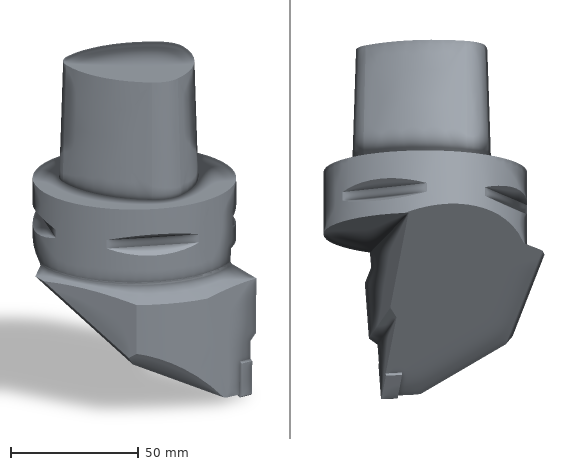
import cadquery as cq
import math

FLANGE_DIAMETER = 80.0
FLANGE_RADIUS = FLANGE_DIAMETER / 2
FLANGE_THICKNESS = 25.0
CUTTER_SIZE = 256.0

SHANK_HEIGHT = 48.0
LOBE_CENTER_RADIUS = 16.8
SHANK_WIDTH = 54.7
LOBE_RADIUS = (SHANK_WIDTH - LOBE_CENTER_RADIUS * math.sqrt(3)) / 2
SHANK_TAPER = 1.5

GROOVE_COUNT = 4
GROOVE_CENTER_Z = -14.8
GROOVE_FLOOR_WIDTH = 3.5
GROOVE_FLOOR_DISTANCE = 35.5
GROOVE_WALL_ANGLE = 30.0

HEAD_RADIUS = 54.4
HEAD_DEPTH = 89.6
CONE_START_Z = -30.8
CONE_ANGLE = 15.0
NECK_FILLET = 1.0
FRONT_FLAT_Y = -45.0
UNDERSIDE_POINT = (-FLANGE_RADIUS, 0, -21.0)
UNDERSIDE_ANGLE = 31.6
UNDERSIDE_SLOPE_X = -math.tan(math.radians(UNDERSIDE_ANGLE))
UNDERSIDE_SLOPE_Y = -0.035
EDGE_CHAMFER_POINT = (26.9, -42.2, -60.7)
EDGE_CHAMFER_RISE = 2.7
EDGE_CHAMFER_DEPTH = 2.2
CORNER_CHAMFER_RUN = (19.2, 21.1, -13.5)
SIDE_POINT = (52.2, 8.0, -34.3)
SIDE_SLOPE_Y = 0.094
SIDE_SLOPE_Z = -0.057

RAKE_TURN_ANGLE = 6.5
RAKE_SLOPE_X = -math.tan(math.radians(RAKE_TURN_ANGLE))
RAKE_SLOPE_Z = 0.087
RAKE_OFFSET = 16.6
CHIP_FACE_OFFSET = 13.3
CHIP_STEP_Y = 10.0
CHIP_STEP_Z = -53.4
CHIP_STEP_SLOPE = 0.65

INSERT_TIP_X = 55.0
INSERT_TIP_Z = -80.5
INSERT_SIDE = 14.3
INSERT_THICKNESS = 6.5
INSERT_FLANK_ANGLE = 93.0
INSERT_LOWER_ANGLE = 148.2
INSERT_NOSE_RADIUS = 0.6


def half_space(point, outward):
    """Large block on the outward side of a plane, used as a cutter."""
    plane = cq.Plane(origin=point, normal=outward)
    return cq.Workplane(plane).rect(CUTTER_SIZE, CUTTER_SIZE).extrude(CUTTER_SIZE)


def polar(radius, angle):
    return cq.Vector(radius * math.cos(math.radians(angle)), radius * math.sin(math.radians(angle)), 0)


def shank_section(z, inset):
    """Three lobes and three wide flanks; each flank is centred on the opposite lobe."""
    lobe_radius = LOBE_RADIUS - inset
    flank_radius = SHANK_WIDTH - LOBE_RADIUS - inset
    level = cq.Vector(0, 0, z)
    edges = []
    for lobe_angle in (90, 210, 330):
        lobe_center = polar(LOBE_CENTER_RADIUS, lobe_angle) + level
        lobe = [lobe_center + polar(lobe_radius, lobe_angle + turn) for turn in (-30, 0, 30)]
        flank_angle = lobe_angle + 60
        flank_center = polar(LOBE_CENTER_RADIUS, flank_angle + 180) + level
        flank = [flank_center + polar(flank_radius, flank_angle + turn) for turn in (-30, 0, 30)]
        edges.append(cq.Edge.makeThreePointArc(*lobe))
        edges.append(cq.Edge.makeThreePointArc(*flank))
    return cq.Wire.assembleEdges(edges)


def make_shank():
    sections = [shank_section(0, 0), shank_section(SHANK_HEIGHT, SHANK_TAPER)]
    return cq.Workplane(cq.Solid.makeLoft(sections, True))


def make_groove(angle):
    """Straight flat-bottomed groove with sloping walls, cut across the flange rim."""
    depth = FLANGE_RADIUS - GROOVE_FLOOR_DISTANCE
    half_floor = GROOVE_FLOOR_WIDTH / 2
    half_mouth = half_floor + depth * math.tan(math.radians(GROOVE_WALL_ANGLE))
    profile = [
        (GROOVE_FLOOR_DISTANCE, GROOVE_CENTER_Z - half_floor),
        (FLANGE_RADIUS, GROOVE_CENTER_Z - half_mouth),
        (FLANGE_RADIUS, GROOVE_CENTER_Z + half_mouth),
        (GROOVE_FLOOR_DISTANCE, GROOVE_CENTER_Z + half_floor),
    ]
    groove = cq.Workplane("XZ").polyline(profile).close().extrude(FLANGE_RADIUS, both=True)
    return groove.rotate((0, 0, 0), (0, 0, 1), angle)


def make_flange():
    return cq.Workplane("XY").circle(FLANGE_RADIUS).extrude(-FLANGE_THICKNESS)


def rake_cutter(offset):
    return half_space((0, offset, 0), (-RAKE_SLOPE_X, 1, -RAKE_SLOPE_Z))


def make_head_blank():
    """Turned blank: neck cylinder, small fillet, cone and outer cylinder."""
    cone_angle = math.radians(CONE_ANGLE)
    cone_drop = (HEAD_RADIUS - FLANGE_RADIUS) * math.tan(cone_angle)
    tangent_length = NECK_FILLET * math.tan((math.pi / 2 - cone_angle) / 2)
    fillet_top = (FLANGE_RADIUS, CONE_START_Z + tangent_length)
    fillet_end = (
        FLANGE_RADIUS + tangent_length * math.cos(cone_angle),
        CONE_START_Z - tangent_length * math.sin(cone_angle),
    )
    return (
        cq.Workplane("XZ")
        .lineTo(FLANGE_RADIUS, 0)
        .lineTo(*fillet_top)
        .tangentArcPoint(fillet_end, relative=False)
        .lineTo(HEAD_RADIUS, CONE_START_Z - cone_drop)
        .lineTo(HEAD_RADIUS, -HEAD_DEPTH)
        .lineTo(0, -HEAD_DEPTH)
        .close()
        .revolve(360, (0, 0, 0), (0, 1, 0))
    )


def cut_edge_chamfers(head):
    """Chamfers where the underside meets the front flat and the rounded corner."""
    across = cq.Vector(0, -EDGE_CHAMFER_DEPTH, EDGE_CHAMFER_RISE)
    along_underside = cq.Vector(1, 0, UNDERSIDE_SLOPE_X)
    for run in (along_underside, cq.Vector(*CORNER_CHAMFER_RUN)):
        head = head.cut(half_space(EDGE_CHAMFER_POINT, run.cross(across)))
    return head


def cut_chip_pocket(head):
    """Lower rake face that starts below a sloping step."""
    below_step = half_space((0, CHIP_STEP_Y, CHIP_STEP_Z), (0, CHIP_STEP_SLOPE, -1))
    return head.cut(rake_cutter(CHIP_FACE_OFFSET).intersect(below_step))


def make_head():
    head = make_head_blank()
    head = head.cut(half_space((0, FRONT_FLAT_Y, 0), (0, -1, 0)))
    head = head.cut(rake_cutter(RAKE_OFFSET))
    head = head.cut(half_space(SIDE_POINT, (1, -SIDE_SLOPE_Y, -SIDE_SLOPE_Z)))
    head = cut_edge_chamfers(head)
    return cut_chip_pocket(head)


def make_insert():
    """Rhombic cutting insert whose top lies in the lower rake face."""
    tip_y = CHIP_FACE_OFFSET + RAKE_SLOPE_X * INSERT_TIP_X + RAKE_SLOPE_Z * INSERT_TIP_Z
    seat = cq.Plane(
        origin=(INSERT_TIP_X, tip_y, INSERT_TIP_Z),
        xDir=(1, RAKE_SLOPE_X, 0),
        normal=(RAKE_SLOPE_X, -1, RAKE_SLOPE_Z),
    )
    flank = polar(INSERT_SIDE, INSERT_FLANK_ANGLE)
    lower = polar(INSERT_SIDE, INSERT_LOWER_ANGLE)
    far = flank + lower
    corners = [(0, 0), (flank.x, flank.y), (far.x, far.y), (lower.x, lower.y)]
    blank = cq.Workplane(seat).polyline(corners).close().extrude(INSERT_THICKNESS)
    nose_edge = cq.selectors.NearestToPointSelector(seat.toWorldCoords((0, 0, INSERT_THICKNESS / 2)))
    return blank.edges(nose_edge).fillet(INSERT_NOSE_RADIUS).solids()


def make_holder(insert):
    holder = make_flange().union(make_head())
    underside_normal = (UNDERSIDE_SLOPE_X, UNDERSIDE_SLOPE_Y, -1)
    holder = holder.cut(half_space(UNDERSIDE_POINT, underside_normal))
    for index in range(GROOVE_COUNT):
        holder = holder.cut(make_groove(45 + index * 360 / GROOVE_COUNT))
    return holder.union(make_shank()).cut(insert).solids()


cutting_insert = make_insert()
tool_holder = make_holder(cutting_insert)

result = cq.Compound.makeCompound([tool_holder.val(), cutting_insert.val()])